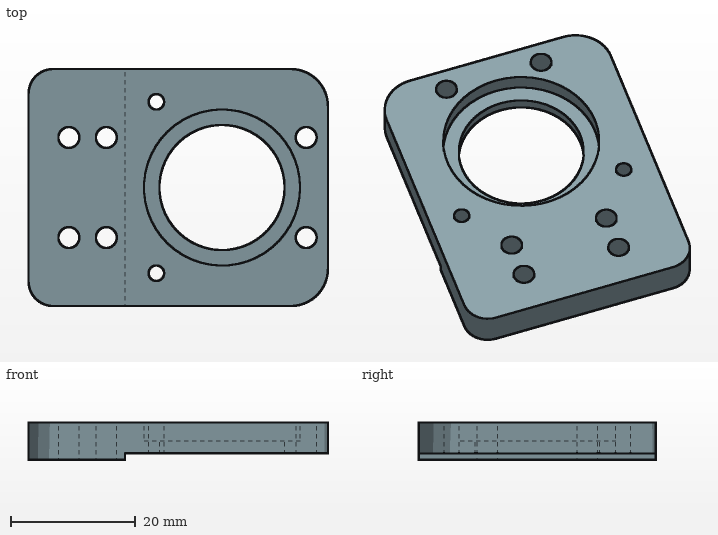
import cadquery as cq

length = 48.0
width = 38.0
thickness = 6.0
left_corner_radius = 4.0
right_corner_radius = 6.0

pad_length = 15.5
relief_depth = 1.0

bore_x = 31.0
bore_diameter = 20.0
counterbore_diameter = 25.0
counterbore_depth = 3.0

mount_diameter = 3.3
mount_columns = (6.5, 12.5, 44.5)
mount_offset = 8.0
small_diameter = 2.45
small_column = 20.5
small_offset = 13.75


def make_plate():
    plate = cq.Workplane("XY").box(length, width, thickness, centered=(False, True, False))
    plate = plate.edges("|Z and <X").fillet(left_corner_radius)
    return plate.edges("|Z and >X").fillet(right_corner_radius)


def make_relief():
    relief = cq.Workplane("XY").box(
        length - pad_length, width, relief_depth, centered=(False, True, False)
    )
    return relief.translate((pad_length, 0, 0))


def make_bore():
    bore = cq.Workplane("XY").center(bore_x, 0).circle(bore_diameter / 2).extrude(thickness)
    counterbore = (
        cq.Workplane("XY", origin=(bore_x, 0, thickness))
        .circle(counterbore_diameter / 2)
        .extrude(-counterbore_depth)
    )
    return bore.union(counterbore)


def make_hole_pairs(columns, offset, diameter):
    points = [(x, side * offset) for x in columns for side in (-1, 1)]
    return cq.Workplane("XY").pushPoints(points).circle(diameter / 2).extrude(thickness)


result = (
    make_plate()
    .cut(make_relief())
    .cut(make_bore())
    .cut(make_hole_pairs(mount_columns, mount_offset, mount_diameter))
    .cut(make_hole_pairs((small_column,), small_offset, small_diameter))
)